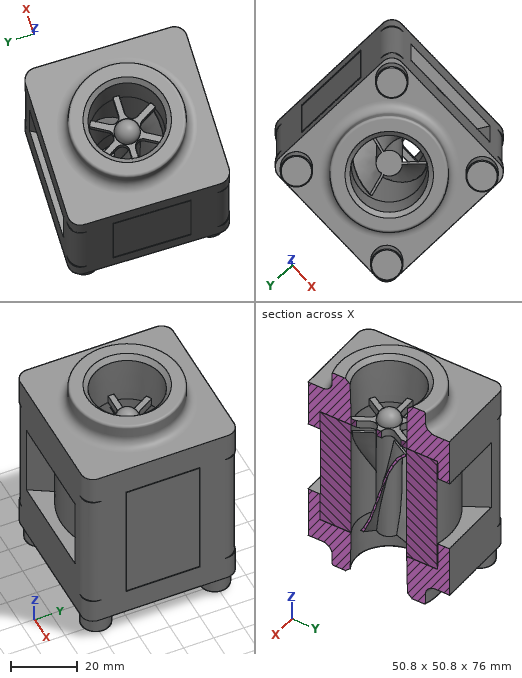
import cadquery as cq
import math

length = 75.95
width = 50.8
block_bottom = 7.7
block_top = length - block_bottom
end_corner_radius = 3.95
relief_corner_radius = 4.7
relief_bottom = 16.1
relief_top = 58.3
relief_height = relief_top - relief_bottom

port_radius = 17.85
port_flare = 3.3
port_lip = 0.8
mouth_radius = 13.3
mouth_chamfer = 1.5
throat_radius = mouth_radius - mouth_chamfer
bore_depth = 14.9
chamber_radius = 11.5

foot_radius = 4.85
foot_offset = 19.75
foot_bottom = 1.5
foot_chamfer = 0.3

window_width = 34.5
window_bottom = 26.1
window_top = 51.6
window_height = window_top - window_bottom
window_wall_angle = 30.0
label_width = 24.45
label_depth = 0.2

tube_radius = 21.9

spoke_count = 6
spoke_width = 2.0
spoke_root_radius = 2.3
spider_top = length - bore_depth
spider_thickness = spider_top - relief_top

shaft_radius = 3.95
blade_count = 3
blade_thickness = 0.75
blade_tip_radius = 11.25
blade_start_angle = 73.0
blade_twist = 107.0
rotor_end_gap = 2.3
rotor_bottom = relief_bottom + rotor_end_gap
blade_height = relief_top - rotor_end_gap - rotor_bottom


def cylinder(radius, bottom, top):
    return cq.Workplane("XY").workplane(offset=bottom).circle(radius).extrude(top - bottom)


def rounded_block(bottom, height, corner_radius):
    block = cq.Workplane("XY").box(width, width, height, centered=(True, True, False))
    return block.edges("|Z").fillet(corner_radius).translate((0, 0, bottom))


def make_block():
    """Square block whose vertical edges are rounded more between the two relief levels."""
    ends = [
        rounded_block(block_bottom, relief_bottom - block_bottom, end_corner_radius),
        rounded_block(relief_top, block_top - relief_top, end_corner_radius),
    ]
    block = rounded_block(relief_bottom, relief_height, relief_corner_radius)
    for end in ends:
        block = block.union(end)
    return block


def make_top_port():
    """Flared round port standing on the top of the block, as a revolved half section."""
    flare_top = block_top + port_flare
    flare_radius = port_radius + port_flare
    arc_step = math.sqrt(0.5)
    flare_middle = (flare_radius - port_flare * arc_step, flare_top - port_flare * arc_step)
    lip_middle = (
        port_radius - port_lip * (1 - arc_step),
        length - port_lip * (1 - arc_step),
    )
    return (
        cq.Workplane("XZ")
        .moveTo(0, block_top)
        .lineTo(flare_radius, block_top)
        .threePointArc(flare_middle, (port_radius, flare_top))
        .lineTo(port_radius, length - port_lip)
        .threePointArc(lip_middle, (port_radius - port_lip, length))
        .lineTo(0, length)
        .close()
        .revolve(360, (0, 0), (0, 1))
    )


def make_top_bore():
    """Chamfered mouth and tapered bore that narrows down to the chamber."""
    return (
        cq.Workplane("XZ")
        .moveTo(0, length)
        .lineTo(mouth_radius, length)
        .lineTo(throat_radius, length - mouth_chamfer)
        .lineTo(chamber_radius, length - bore_depth)
        .lineTo(0, length - bore_depth)
        .close()
        .revolve(360, (0, 0), (0, 1))
    )


def mirror_to_bottom(shape):
    return shape.mirror("XY", (0, 0, length / 2))


def make_feet():
    return (
        cq.Workplane("XY")
        .workplane(offset=foot_bottom)
        .rect(2 * foot_offset, 2 * foot_offset, forConstruction=True)
        .vertices()
        .circle(foot_radius)
        .extrude(block_bottom - foot_bottom)
        .faces("<Z")
        .edges()
        .chamfer(foot_chamfer)
    )


def make_front_window():
    """Window opening that narrows inwards from the -Y face and ends inside the tube space."""
    outer_half = window_width / 2
    inner_y = -tube_radius / 2
    depth = inner_y + width / 2
    inner_half = outer_half - depth * math.tan(math.radians(window_wall_angle))
    return (
        cq.Workplane("XY")
        .workplane(offset=window_bottom)
        .moveTo(-outer_half, -width / 2)
        .lineTo(outer_half, -width / 2)
        .lineTo(inner_half, inner_y)
        .lineTo(-inner_half, inner_y)
        .close()
        .extrude(window_height)
    )


def make_label_recess():
    """Shallow rectangular recess in the -X face."""
    recess = cq.Workplane("XY").box(label_depth, label_width, relief_height, centered=(False, True, False))
    return recess.translate((-width / 2, 0, relief_bottom))


def make_housing():
    port = make_top_port()
    bore = make_top_bore()
    window = make_front_window()
    label_recess = make_label_recess()
    housing = make_block().union(port).union(mirror_to_bottom(port)).union(make_feet())
    housing = housing.cut(bore).cut(mirror_to_bottom(bore))
    housing = housing.cut(cylinder(chamber_radius, bore_depth, length - bore_depth))
    housing = housing.cut(cylinder(tube_radius, relief_bottom, relief_top))
    housing = housing.cut(window).cut(window.mirror("XZ"))
    return housing.cut(label_recess).cut(label_recess.mirror("YZ"))


def make_sight_tube():
    tube = cylinder(tube_radius, relief_bottom, relief_top)
    return tube.cut(cylinder(chamber_radius, relief_bottom, relief_top))


def make_spider():
    """Disc cut into spokes by wedge openings with a rounded inner corner."""
    half_sector = math.pi / spoke_count
    apex = spoke_width / 2 / math.sin(half_sector)
    reach = 2 * chamber_radius
    half_opening = (reach - apex) * math.tan(half_sector)
    opening = (
        cq.Workplane("XY")
        .workplane(offset=relief_top)
        .moveTo(apex, 0)
        .lineTo(reach, -half_opening)
        .lineTo(reach, half_opening)
        .close()
        .extrude(spider_thickness)
        .edges("|Z and <X")
        .fillet(spoke_root_radius)
    )
    spider = cylinder(chamber_radius, relief_top, spider_top)
    spider = spider.cut(cylinder(shaft_radius, relief_top, spider_top))
    for i in range(spoke_count):
        angle = (i + 0.5) * 360 / spoke_count
        spider = spider.cut(opening.rotate((0, 0, 0), (0, 0, 1), angle))
    return spider


def make_rotor():
    """Domed shaft with helical blades."""
    shaft = cylinder(shaft_radius, rotor_bottom, spider_top)
    dome = cq.Workplane("XY").sphere(shaft_radius).translate((0, 0, spider_top))
    rotor = shaft.union(dome)
    blade = (
        cq.Workplane("XY")
        .workplane(offset=rotor_bottom)
        .moveTo(0, -blade_thickness / 2)
        .lineTo(blade_tip_radius, -blade_thickness / 2)
        .lineTo(blade_tip_radius, blade_thickness / 2)
        .lineTo(0, blade_thickness / 2)
        .close()
        .twistExtrude(blade_height, blade_twist)
    )
    for i in range(blade_count):
        angle = blade_start_angle + i * 360 / blade_count
        rotor = rotor.union(blade.rotate((0, 0, 0), (0, 0, 1), angle))
    return rotor


housing = make_housing()
sight_tube = make_sight_tube()
spider = make_spider()
rotor = make_rotor()

bodies = [housing, sight_tube, spider, rotor]
result = cq.Compound.makeCompound([body.solids().val() for body in bodies])